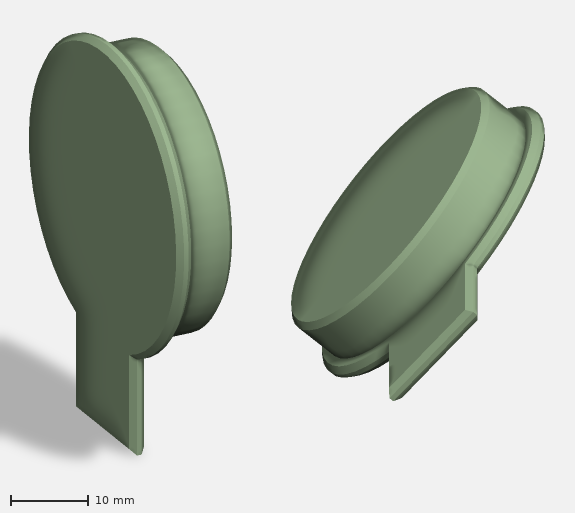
import cadquery as cq

overall_height = 55.0
overall_depth = 9.2
flange_diameter = 43.0
flange_thickness = 2.2
boss_diameter = 39.0
tab_width = 16.5
edge_chamfer = 0.75

flange_radius = flange_diameter / 2
boss_height = overall_depth - flange_thickness
tab_reach = overall_height - flange_radius


def make_flange():
    """Round plate with a straight tab hanging below it, chamfered on both faces."""
    disc = cq.Workplane("XZ").circle(flange_radius).extrude(-flange_thickness)
    tab = (
        cq.Workplane("XZ")
        .center(0, -tab_reach / 2)
        .rect(tab_width, tab_reach)
        .extrude(-flange_thickness)
    )
    return disc.union(tab).faces("<Y or >Y").edges().chamfer(edge_chamfer)


def make_boss():
    """Cylindrical plug behind the flange with a chamfered free end."""
    return (
        cq.Workplane("XZ", origin=(0, flange_thickness, 0))
        .circle(boss_diameter / 2)
        .extrude(-boss_height)
        .faces(">Y")
        .edges()
        .chamfer(edge_chamfer)
    )


result = make_flange().union(make_boss())